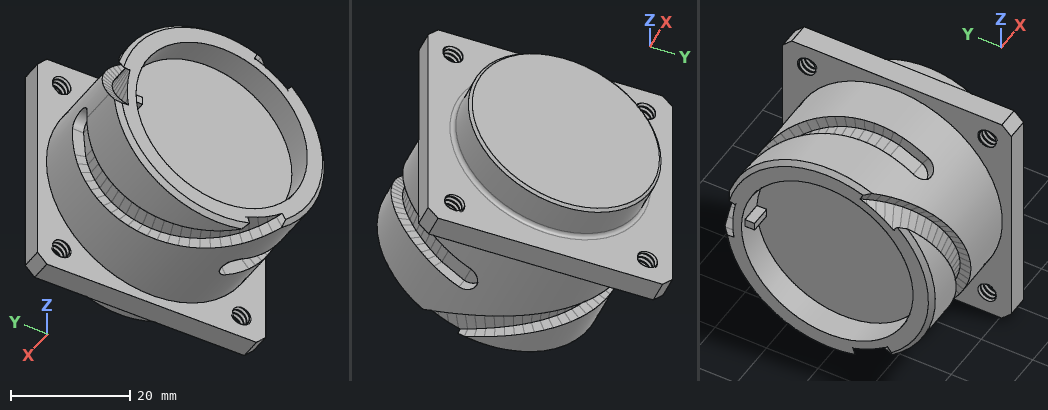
import cadquery as cq
import math


flange_side = 44.45
flange_front = 23.1
flange_thickness = 4.1
flange_corner_chamfer = 1.82
flange_back = flange_front + flange_thickness

barrel_radius = 20.5
barrel_chamfer = 0.85
bore_radius = 16.65
bore_depth = 5.1

total_length = 33.9
boss_radius = 17.5
boss_fillet = 0.75
boss_chamfer = 0.5

key_length = 4.0
key_width = 1.5
key_tip_radius = 14.75
key_wall_overlap = 0.22

hole_offset = 17.5
hole_radius = 1.65
thread_depth = 0.35
thread_pitch = 0.95
thread_groove_width = 0.8
thread_overlap = 0.05
thread_overrun = 1.4

slot_count = 3
slot_width = 4.75
slot_depth = 2.15
slot_end_x = 12.15
slot_end_angle = -63.0
slot_dwell_end_angle = -47.5
slot_path_radius = 64.9
slot_exit_tilt = 42.0
slot_steps = 27
slot_cutter_clearance = 1.35
slot_floor_radius = barrel_radius - slot_depth
slot_cutter_radius = barrel_radius + slot_cutter_clearance


def cylinder_along_x(x_start, x_end, radius):
    return cq.Workplane("YZ", origin=(x_start, 0, 0)).circle(radius).extrude(x_end - x_start)


def make_flange():
    plate = cq.Workplane("YZ", origin=(flange_front, 0, 0)).rect(flange_side, flange_side)
    return plate.extrude(flange_thickness).edges("|X").chamfer(flange_corner_chamfer)


def make_body():
    barrel = cylinder_along_x(0, flange_front, barrel_radius).faces("<X").chamfer(barrel_chamfer)
    boss = cylinder_along_x(flange_back, total_length, boss_radius).faces(">X").chamfer(boss_chamfer)
    body = make_flange().union(barrel).union(boss)
    boss_root = cq.selectors.NearestToPointSelector((flange_back, 0, 0))
    body = body.edges("%CIRCLE").edges(boss_root).fillet(boss_fillet)
    return body.cut(cylinder_along_x(0, bore_depth, bore_radius))


def make_key():
    key_root_radius = bore_radius + key_wall_overlap
    return cq.Workplane("XY").box(
        key_length, key_root_radius - key_tip_radius, key_width, centered=(False, False, True)
    ).translate((bore_depth - key_length, key_tip_radius, 0))


def slot_section(x, angle, tilt):
    """Rectangle across the slot: angle runs from -Y towards +Z, tilt is the path's lean towards -X."""
    radial = cq.Vector(0, -math.cos(angle), math.sin(angle))
    tangent = cq.Vector(0, math.sin(angle), math.cos(angle))
    across = (tangent * math.sin(tilt) + cq.Vector(math.cos(tilt), 0, 0)) * (slot_width / 2)
    floor = cq.Vector(x, 0, 0) + radial * slot_floor_radius
    top = cq.Vector(x, 0, 0) + radial * slot_cutter_radius
    corners = [floor - across, floor + across, top + across, top - across]
    return cq.Wire.makePolygon(corners, close=True)


def make_slot_cutter():
    end_angle = math.radians(slot_end_angle)
    dwell_end_angle = math.radians(slot_dwell_end_angle)
    sections = [slot_section(slot_end_x, end_angle, 0)]
    for step in range(slot_steps + 1):
        tilt = math.radians(slot_exit_tilt) * step / slot_steps
        x = slot_end_x - slot_path_radius * (1 - math.cos(tilt))
        angle = dwell_end_angle + slot_path_radius * math.sin(tilt) / barrel_radius
        sections.append(slot_section(x, angle, tilt))
    channel = cq.Workplane(cq.Solid.makeLoft(sections, True))

    end_direction = cq.Vector(0, -math.cos(end_angle), math.sin(end_angle))
    round_end = cq.Solid.makeCylinder(
        slot_width / 2,
        slot_cutter_radius - slot_floor_radius,
        cq.Vector(slot_end_x, 0, 0) + end_direction * slot_floor_radius,
        end_direction,
    )
    return channel.union(cq.Workplane(round_end))


def make_threaded_hole_cutter():
    thread_start = flange_front - thread_overrun
    thread_end = flange_back + thread_overrun
    hole = cylinder_along_x(thread_start - thread_pitch, thread_end + thread_pitch, hole_radius)
    helix = cq.Wire.makeHelix(thread_pitch, thread_end - thread_start, hole_radius)
    groove_foot_radius = hole_radius - thread_overlap
    groove = (
        cq.Workplane("XZ")
        .polyline([
            (groove_foot_radius, -thread_groove_width / 2),
            (hole_radius + thread_depth, 0),
            (groove_foot_radius, thread_groove_width / 2),
        ])
        .close()
        .sweep(cq.Workplane(helix), isFrenet=True)
        .rotate((0, 0, 0), (0, 1, 0), 90)
        .translate((thread_start, 0, 0))
    )
    return hole.union(groove)


result = make_body().union(make_key())

slot_cutter = make_slot_cutter()
for index in range(slot_count):
    result = result.cut(slot_cutter.rotate((0, 0, 0), (1, 0, 0), index * 360 / slot_count))

upper_hole = make_threaded_hole_cutter()
for y in (-hole_offset, hole_offset):
    hole = upper_hole.translate((0, y, hole_offset))
    result = result.cut(hole)
    result = result.cut(hole.rotate((0, 0, 0), (1, 0, 0), 180))